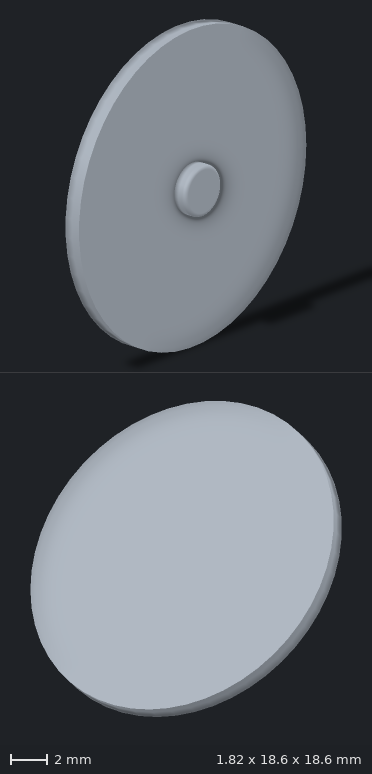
import cadquery as cq

disc_diameter = 18.6
disc_thickness = 1.0

total_thickness = 1.82
boss_height = total_thickness - disc_thickness
boss_diameter = 3.0
boss_edge_radius = 0.25

disc = cq.Workplane("YZ").circle(disc_diameter / 2).extrude(disc_thickness)

boss = (
    cq.Workplane("YZ", origin=(disc_thickness, 0, 0))
    .circle(boss_diameter / 2)
    .extrude(boss_height)
    .faces(">X")
    .edges()
    .fillet(boss_edge_radius)
)

result = disc.union(boss)